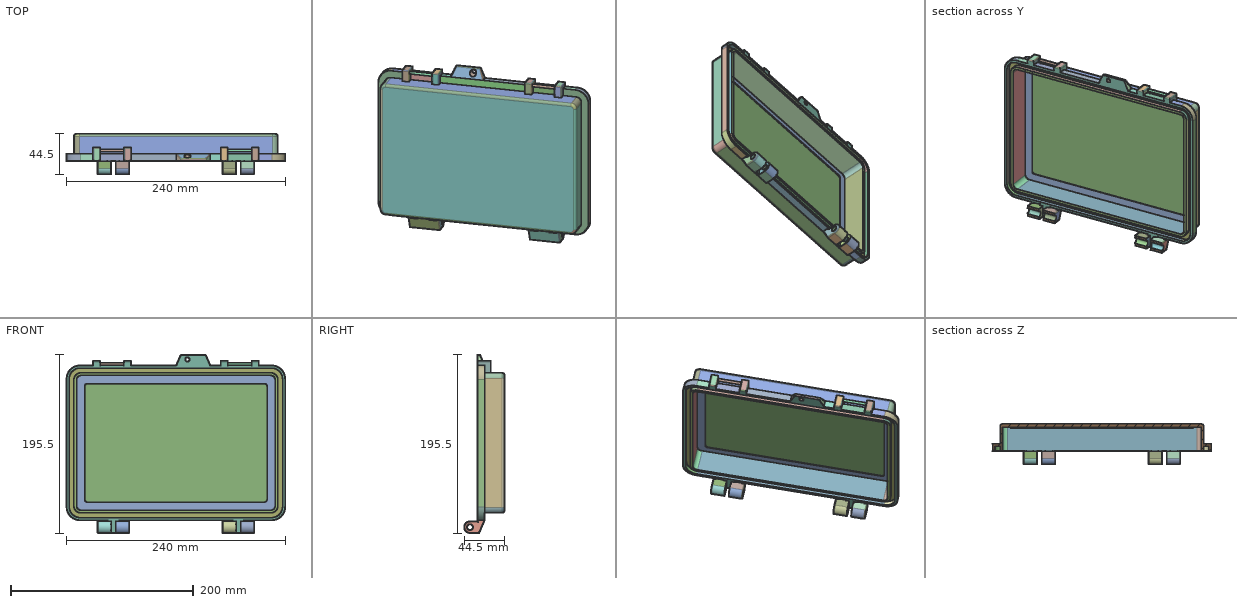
import cadquery as cq

flange_width = 240.0
flange_height = 170.0
flange_thickness = 8.0
flange_corner_radius = 15.0
flange_top = flange_height / 2
flange_bottom = -flange_top

tray_inset = 8.1
tray_back = 30.0
tray_corner_radius = 6.0
tray_back_fillet = 3.0
wall_thickness = 3.0
floor_thickness = 4.0
cavity_corner_radius = 5.0
tray_top = flange_top - tray_inset
cavity_inset = tray_inset + wall_thickness
cavity_floor = tray_back - floor_thickness

pad_inset = 20.0
pad_height = 1.0
pad_corner_radius = 3.0
pad_edge_fillet = 0.5

groove_inset = 3.0
groove_depth = 5.0
groove_outer_radius = flange_corner_radius - groove_inset
groove_inner_radius = 8.0

latch_centers = (-70.0, 70.0)
ear_width = 8.0
ear_spacing = 34.0
ear_rise = 5.1
ear_depth = 15.0
ear_back_fillet = 1.0
ear_top_fillet = 1.0
pin_diameter = 3.0
pin_center_y = 11.5
pin_center_z = flange_top + pin_diameter / 2

tab_left = 0.25
tab_base_width = 37.5
tab_side_run = 5.0
tab_rise = 11.5
tab_tip_thickness = 3.0
tab_corner_radius = 2.0
tab_back_fillet = 0.75
tab_hole_diameter = 4.5
tab_hole_back_diameter = 8.5
tab_hole_x = 12.4
tab_hole_rise = 6.5

hinge_centers = (-68.5, 68.5)
hinge_width = 35.0
knuckle_gap = 5.0
knuckle_radius = 6.5
hinge_drop = 14.0
pivot_y = -8.0
pivot_hole_diameter = 6.25
web_foot_y = 2.0
hinge_end_fillet = 1.0
slot_width = 8.0
slot_spacing = 21.0
pivot_z = flange_bottom - hinge_drop + knuckle_radius


def rounded_block(inset, corner_radius, front, back):
    """Rectangular block following the flange outline at an inset, from Y = front to Y = back."""
    depth = back - front
    return (
        cq.Workplane("XY")
        .box(flange_width - 2 * inset, depth, flange_height - 2 * inset)
        .edges("|Y")
        .fillet(corner_radius)
        .translate((0, front + depth / 2, 0))
    )


def box_between(x_range, y_range, z_range):
    """Box spanning the given ranges."""
    (x0, x1), (y0, y1), (z0, z1) = x_range, y_range, z_range
    return cq.Workplane("XY").box(x1 - x0, y1 - y0, z1 - z0, centered=False).translate((x0, y0, z0))


def make_shell():
    """Flange and hollow tray with its floor pad."""
    flange = rounded_block(0, flange_corner_radius, 0, flange_thickness)
    tray = rounded_block(tray_inset, tray_corner_radius, 0, tray_back)
    tray = tray.faces(">Y").edges().fillet(tray_back_fillet)
    cavity = rounded_block(cavity_inset, cavity_corner_radius, 0, cavity_floor)
    pad = rounded_block(pad_inset, pad_corner_radius, cavity_floor - pad_height, cavity_floor)
    pad = pad.faces("<Y").edges().fillet(pad_edge_fillet)
    return flange.union(tray).cut(cavity).union(pad)


def make_groove():
    """Ring removed from the flange front for the seal."""
    groove = rounded_block(groove_inset, groove_outer_radius, 0, groove_depth)
    return groove.cut(rounded_block(tray_inset, groove_inner_radius, 0, groove_depth))


def make_ear(center_x):
    """Latch ear standing on the tray and flange, flush with the flange front."""
    x_range = (center_x - ear_width / 2, center_x + ear_width / 2)
    ear = box_between(x_range, (0, ear_depth), (tray_top, flange_top + ear_rise))
    ear = ear.edges("|Z and >Y").fillet(ear_back_fillet)
    ear = ear.faces(">Z").edges().fillet(ear_top_fillet)
    return ear


def make_latch_mount(center_x):
    """Pair of ears joined by a pin."""
    pin = (
        cq.Workplane("YZ", origin=(center_x - ear_spacing / 2, 0, 0))
        .center(pin_center_y, pin_center_z)
        .circle(pin_diameter / 2)
        .extrude(ear_spacing)
    )
    for side in (-1, 1):
        pin = pin.union(make_ear(center_x + side * ear_spacing / 2))
    return pin


def make_tab():
    """Trapezoidal locking tab with a sloped back and a padlock hole."""
    tab_right = tab_left + tab_base_width
    tab_tip = flange_top + tab_rise
    tab = (
        cq.Workplane("XZ")
        .moveTo(tab_left, flange_top)
        .lineTo(tab_left + tab_side_run, tab_tip)
        .lineTo(tab_right - tab_side_run, tab_tip)
        .lineTo(tab_right, flange_top)
        .close()
        .extrude(-flange_thickness)
        .edges("|Y and >Z")
        .fillet(tab_corner_radius)
    )
    side_profile = (
        cq.Workplane("YZ", origin=(tab_left, 0, 0))
        .moveTo(0, flange_top)
        .lineTo(flange_thickness, flange_top)
        .lineTo(tab_tip_thickness, tab_tip)
        .lineTo(0, tab_tip)
        .close()
        .extrude(tab_base_width)
    )
    hole = (
        cq.Workplane("XZ")
        .center(tab_left + tab_hole_x, flange_top + tab_hole_rise)
        .circle(tab_hole_diameter / 2)
        .workplane(offset=-flange_thickness)
        .circle(tab_hole_back_diameter / 2)
        .loft()
    )
    back_normal = cq.Vector(0, tab_rise, flange_thickness - tab_tip_thickness)
    back_face = cq.DirectionMinMaxSelector(back_normal)
    tab = tab.intersect(side_profile)
    tab = tab.faces(back_face).edges("not <Z").fillet(tab_back_fillet)
    return tab.cut(hole)


def make_hinge(center_x):
    """Two knuckles in front of a sloped web, with slots through the web above the knuckles."""
    left = center_x - hinge_width / 2
    hinge_bottom = flange_bottom - hinge_drop
    knuckle_top = hinge_bottom + 2 * knuckle_radius
    hinge = (
        cq.Workplane("YZ", origin=(left, 0, 0))
        .moveTo(0, flange_bottom)
        .lineTo(flange_thickness, flange_bottom)
        .lineTo(web_foot_y, hinge_bottom)
        .lineTo(pivot_y, hinge_bottom)
        .threePointArc((pivot_y - knuckle_radius, pivot_z), (pivot_y, knuckle_top))
        .lineTo(0, knuckle_top)
        .close()
        .extrude(hinge_width)
        .faces("<X or >X")
        .edges("not >Z")
        .fillet(hinge_end_fillet)
    )
    gap = box_between(
        (center_x - knuckle_gap / 2, center_x + knuckle_gap / 2),
        (pivot_y - knuckle_radius, 0),
        (hinge_bottom, knuckle_top),
    )
    hole = (
        cq.Workplane("YZ", origin=(left, 0, 0))
        .center(pivot_y, pivot_z)
        .circle(pivot_hole_diameter / 2)
        .extrude(hinge_width)
    )
    hinge = hinge.cut(gap).cut(hole)
    for side in (-1, 1):
        slot_x = center_x + side * slot_spacing / 2
        slot = box_between(
            (slot_x - slot_width / 2, slot_x + slot_width / 2),
            (0, flange_thickness),
            (knuckle_top, flange_bottom),
        )
        hinge = hinge.cut(slot)
    return hinge


result = make_shell().union(make_tab())
for latch_center in latch_centers:
    result = result.union(make_latch_mount(latch_center))
for hinge_center in hinge_centers:
    result = result.union(make_hinge(hinge_center))
result = result.cut(make_groove())